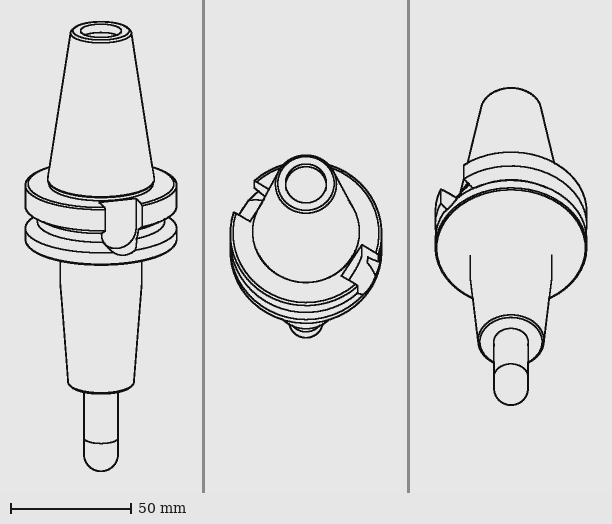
import cadquery as cq
import math

total_height = 193.4

gauge_radius = 22.2
taper_length = 65.4
taper_ratio = 7 / 24
taper_edge_chamfer = 1.0
gauge_height = total_height - taper_length
taper_end_radius = gauge_radius - taper_length * taper_ratio / 2
bore_radius = 8.5
bore_depth = 3.7

relief_radius = 21.7
relief_lip = 0.5

flange_radius = 31.5
flange_chamfer_width = 1.2
flange_chamfer_height = 0.5
flange_top = gauge_height - 2
flange_bottom = flange_top - 25.1
flange_edge_chamfer = 0.5
groove_root_radius = 26.5
groove_centre = 111.4
groove_root_width = 3.9
groove_flank_angle = 30
groove_flank_height = (flange_radius - groove_root_radius) * math.tan(math.radians(groove_flank_angle))
groove_root_top = groove_centre + groove_root_width / 2
groove_root_bottom = groove_centre - groove_root_width / 2

slot_width = 16.0
slot_floor = 22.5
slot_depth = 21.0

nose_radius = 17.0
nose_fillet = 5.0
nose_taper_top = 82.4
nose_bottom = 38.1
nose_end_radius = 13.7
nose_end_chamfer = 0.8

tool_radius = 7.2
cutter_length = 2 * tool_radius
clamping_depth = 38.7
shank_top = nose_bottom + clamping_depth


def revolve_profile(profile):
    """Turn a closed (radius, height) outline around the Z axis."""
    return profile.close().revolve(360, (0, 0, 0), (0, 1, 0))


def make_holder_blank():
    fillet_middle = nose_fillet * (1 - math.sqrt(0.5))
    profile = (
        cq.Workplane("XZ")
        .moveTo(0, nose_bottom)
        .lineTo(nose_end_radius - nose_end_chamfer, nose_bottom)
        .lineTo(nose_end_radius, nose_bottom + nose_end_chamfer)
        .lineTo(nose_radius, nose_taper_top)
        .lineTo(nose_radius, flange_bottom - nose_fillet)
        .threePointArc(
            (nose_radius + fillet_middle, flange_bottom - fillet_middle),
            (nose_radius + nose_fillet, flange_bottom),
        )
        .lineTo(flange_radius - flange_edge_chamfer, flange_bottom)
        .lineTo(flange_radius, flange_bottom + flange_edge_chamfer)
        .lineTo(flange_radius, groove_root_bottom - groove_flank_height)
        .lineTo(groove_root_radius, groove_root_bottom)
        .lineTo(groove_root_radius, groove_root_top)
        .lineTo(flange_radius, groove_root_top + groove_flank_height)
        .lineTo(flange_radius, flange_top - flange_chamfer_height)
        .lineTo(flange_radius - flange_chamfer_width, flange_top)
        .lineTo(relief_radius, flange_top)
        .lineTo(relief_radius, gauge_height - relief_lip)
        .lineTo(gauge_radius, gauge_height)
        .lineTo(taper_end_radius, total_height - taper_edge_chamfer)
        .lineTo(taper_end_radius - taper_edge_chamfer, total_height)
        .lineTo(0, total_height)
    )
    return revolve_profile(profile)


def make_drive_slot(side):
    """Round-bottomed slot cutter on the +X (side = 1) or -X (side = -1) side."""
    half_width = slot_width / 2
    slot_bottom = flange_top - slot_depth
    arc_height = slot_bottom + half_width
    return (
        cq.Workplane("YZ", origin=(side * slot_floor, 0, 0))
        .moveTo(-half_width, flange_top)
        .lineTo(-half_width, arc_height)
        .threePointArc((0, slot_bottom), (half_width, arc_height))
        .lineTo(half_width, flange_top)
        .close()
        .extrude(side * flange_radius)
    )


def make_cylinder(radius, bottom, height):
    return cq.Workplane("XY", origin=(0, 0, bottom)).circle(radius).extrude(height)


def make_holder():
    holder = make_holder_blank()
    for side in (-1, 1):
        holder = holder.cut(make_drive_slot(side))
    holder = holder.cut(make_cylinder(bore_radius, total_height - bore_depth, bore_depth))
    return holder.cut(make_cylinder(tool_radius, nose_bottom, clamping_depth))


def make_tool_shank():
    profile = (
        cq.Workplane("XZ")
        .moveTo(0, cutter_length)
        .lineTo(tool_radius, cutter_length)
        .lineTo(tool_radius, shank_top)
        .lineTo(0, shank_top)
    )
    return revolve_profile(profile)


def make_cutter():
    arc_offset = tool_radius * math.sqrt(0.5)
    profile = (
        cq.Workplane("XZ")
        .moveTo(0, 0)
        .threePointArc((arc_offset, tool_radius - arc_offset), (tool_radius, tool_radius))
        .lineTo(tool_radius, cutter_length)
        .lineTo(0, cutter_length)
    )
    return revolve_profile(profile)


holder = make_holder()
tool_shank = make_tool_shank()
cutter = make_cutter()

result = cq.Compound.makeCompound([holder.solids().val(), tool_shank.val(), cutter.val()])